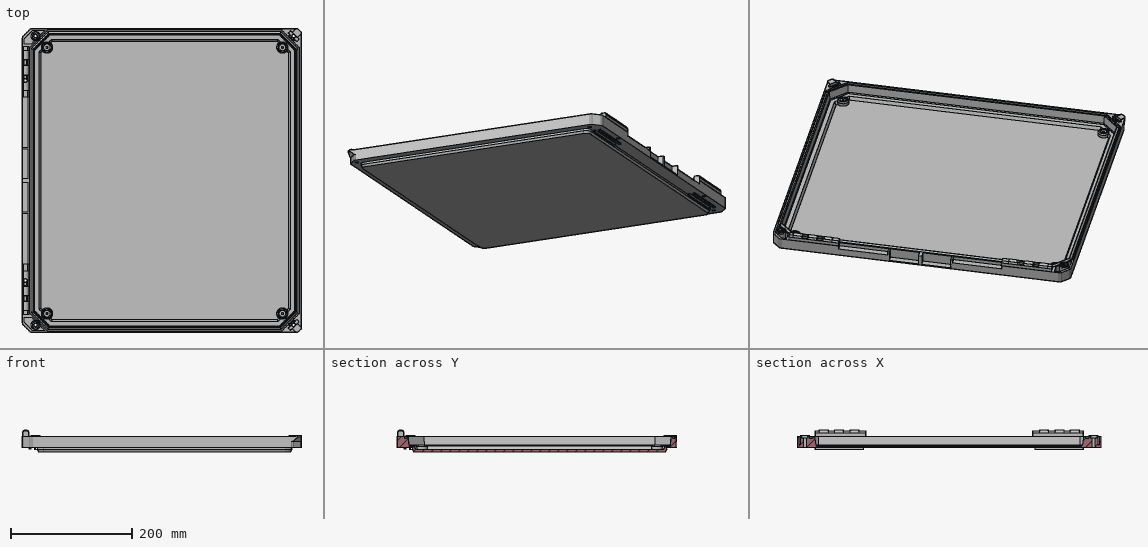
import cadquery as cq
import math


WIDTH = 461.0
LENGTH = 502.0
HINGE_STRIP = 9.5
HALF_X = (WIDTH - HINGE_STRIP) / 2
HALF_Y = LENGTH / 2
HINGE_X = -HALF_X - HINGE_STRIP

FLOOR_Z = 4.5
WALL_BOTTOM = 7.5
LEDGE_Z = 10.0
FOOT_Z = 12.0
GROOVE_Z = 23.0
RIM_Z = 26.0
BOSS_Z = 27.5
TOP_Z = 36.5

GROOVE_OUTER = 2.5
GROOVE_INNER = 5.0
LIP_EDGE = 8.0
WALL_TOP = 8.5
WALL_FOOT = 10.0
FOOT_EDGE = 11.0
LEDGE_EDGE = 18.0
FLOOR_EDGE = 21.0
FRAME_CORNER_CUT = 31.0

PANEL_INSET = 15.5
PANEL_CORNER_RADIUS = 10.0
PANEL_BEVEL_HEIGHT = 4.0
PANEL_BEVEL_WIDTH = 2.0

CORNER_CUT = 14.0
CORNER_ROUND = 5.0
SCREW_INSET = 12.5
SCREW_HOLE_DIA = 5.5
SCREW_SEAT_DIA = 11.0
SCREW_SEAT_DEPTH = 4.0
SCREW_BOSS_DIA = 15.0
POCKET_FLOOR_Z = 12.5
POCKET_RIM = 3.0
POCKET_LENGTH = 25.0
POCKET_DIAGONAL = 31.0

TAB_WIDTH = 12.0
BRACKET_WIDTH = 23.0
TAB_TIP_CUT = 6.0
TAB_INSET = 16.0
TAB_ROOT_Z = 17.5
TAB_TIP_Z = 24.5
SLOT_LENGTH = 20.0
SLOT_WIDTH = 5.5
SLOT_DEPTH = 5.0

POST_INSET = 31.0
POST_DIA = 19.0
POST_TOP = 11.5
POST_BEVEL = 2.0
POST_SEAT_DIA = 11.0
POST_SEAT_DEPTH = 1.5
POST_HOLE_DIA = 3.45
POST_HOLE_DEPTH = 6.0

KNUCKLE_START = 137.5
KNUCKLE_END = 221.5
KNUCKLE_WIDTH = 11.0
KNUCKLE_SHOULDER_Z = 31.5
KNUCKLE_GAP_Z = 35.0
KNUCKLE_BEVEL = 2.0
TOOTH_WIDTH = 15.0
TOOTH_CENTERS = (156.5, 182.5, 207.5)
KNUCKLE_SETBACK = 0.5
GAP_X = (2.5, 7.0)
GAP_END_WALL = 1.0
GAP_FLOOR_Z = 31.5
PIN_HOLE_DIA = 5.5
PIN_HOLE_X = 5.0
PIN_HOLE_Y = 165.0
RECESS_DEPTH = 9.5
SHALLOW_RECESS = (54.5, 137.5)
SHALLOW_RECESS_Z = 20.0
DEEP_RECESS = (3.0, 51.5)
DEEP_RECESS_Z = 9.5
RAIL_START = 141.5
RAIL_END = KNUCKLE_END
RAIL_X = (11.0, 14.5)
RAIL_BOTTOM = 5.5
DUCT_X = (20.0, 28.0)
DUCT_BOTTOM = 4.0
DUCT_SLOT_X = (22.0, 26.0)
DUCT_SLOT_Z = (4.5, WALL_BOTTOM)


def block(x_range, y_range, z_range):
    """Axis-aligned block between the given limits."""
    size = [high - low for low, high in (x_range, y_range, z_range)]
    return cq.Workplane("XY").box(*size, centered=False).translate((x_range[0], y_range[0], z_range[0]))


def cylinder(x, y, diameter, bottom, top):
    return cq.Workplane("XY", origin=(x, y, bottom)).circle(diameter / 2).extrude(top - bottom)


def octagon(inset):
    """Inner frame outline moved in by inset, with the corner diagonals moved in equally."""
    x = HALF_X - inset
    y = HALF_Y - inset
    cut = FRAME_CORNER_CUT - (2 - math.sqrt(2)) * inset
    return [
        (x - cut, -y), (x, cut - y), (x, y - cut), (x - cut, y),
        (cut - x, y), (-x, y - cut), (-x, cut - y), (cut - x, -y),
    ]


def tapered(bottom_inset, top_inset, bottom, top):
    """Octagonal solid whose inset changes evenly from bottom to top."""
    return (
        cq.Workplane("XY", origin=(0, 0, bottom))
        .polyline(octagon(bottom_inset)).close()
        .workplane(offset=top - bottom)
        .polyline(octagon(top_inset)).close()
        .loft(ruled=True)
    )


def frame_block():
    outline = block((HINGE_X, HALF_X), (-HALF_Y, HALF_Y), (WALL_BOTTOM, RIM_Z))
    return outline.edges("|Z").chamfer(CORNER_CUT).edges("|Z").fillet(CORNER_ROUND)


def panel():
    half_x = HALF_X - PANEL_INSET
    half_y = HALF_Y - PANEL_INSET
    return (
        block((-half_x, half_x), (-half_y, half_y), (0, LEDGE_Z))
        .edges("|Z").fillet(PANEL_CORNER_RADIUS)
        .faces("<Z").chamfer(PANEL_BEVEL_HEIGHT, PANEL_BEVEL_WIDTH)
    )


def cavity():
    above_foot = tapered(WALL_FOOT, WALL_TOP, FOOT_Z, RIM_Z)
    above_ledge = tapered(FOOT_EDGE, WALL_FOOT, LEDGE_Z, FOOT_Z)
    above_floor = tapered(FLOOR_EDGE, LEDGE_EDGE, FLOOR_Z, LEDGE_Z)
    return above_foot.union(above_ledge).union(above_floor)


def seal_groove():
    outside = tapered(GROOVE_OUTER, GROOVE_OUTER, GROOVE_Z, RIM_Z)
    return outside.cut(tapered(GROOVE_INNER, LIP_EDGE, GROOVE_Z, RIM_Z))


def post(side_x):
    x = side_x * (HALF_X - POST_INSET)
    y = HALF_Y - POST_INSET
    return (
        cylinder(x, y, POST_DIA, FLOOR_Z / 2, POST_TOP)
        .faces(">Z").chamfer(POST_BEVEL)
        .cut(cylinder(x, y, POST_SEAT_DIA, POST_TOP - POST_SEAT_DEPTH, POST_TOP))
        .cut(cylinder(x, y, POST_HOLE_DIA, POST_TOP - POST_HOLE_DEPTH, POST_TOP))
    )


def screw_point(side_x):
    """Screw axis at the +Y end of the hinge side (-1) or the latch side (1)."""
    return side_x * (HALF_X - SCREW_INSET), HALF_Y - SCREW_INSET


def screw_boss():
    x, y = screw_point(-1)
    return (
        cylinder(x, y, SCREW_BOSS_DIA, WALL_BOTTOM, BOSS_Z)
        .cut(cylinder(x, y, SCREW_HOLE_DIA, WALL_BOTTOM, BOSS_Z))
        .cut(cylinder(x, y, SCREW_SEAT_DIA, BOSS_Z - SCREW_SEAT_DEPTH, BOSS_Z))
    )


def hinge_corner_pocket():
    """Hollow inside the hinge corner, closed off by a diagonal wall towards the tray."""
    inner = (
        block(
            (HINGE_X + POCKET_RIM, 0),
            (HALF_Y - POCKET_LENGTH, HALF_Y - POCKET_RIM),
            (POCKET_FLOOR_Z, RIM_Z),
        )
        .edges("|Z and <X and >Y").chamfer(CORNER_CUT)
    )
    reach = POCKET_DIAGONAL + HINGE_STRIP
    diagonal = (
        cq.Workplane("XY")
        .polyline([(HINGE_X, HALF_Y), (HINGE_X + reach, HALF_Y), (HINGE_X, HALF_Y - reach)])
        .close()
        .extrude(RIM_Z)
    )
    return inner.intersect(diagonal)


def corner_bar(width, top):
    """Diagonal bar over the cut corner, its underside sloping up towards the tip."""
    root = CORNER_CUT / math.sqrt(2)
    tip = TAB_TIP_CUT / math.sqrt(2)
    inner_end = TAB_INSET * math.sqrt(2)
    bar = (
        cq.Workplane("XZ")
        .polyline([
            (-inner_end, TAB_ROOT_Z), (-root, TAB_ROOT_Z), (-tip, TAB_TIP_Z),
            (-tip, top), (-inner_end, top),
        ])
        .close()
        .extrude(width / 2, both=True)
        .rotate((0, 0, 0), (0, 0, 1), 45)
        .translate((HALF_X, HALF_Y, 0))
    )
    return bar.intersect(block((0, HALF_X), (0, HALF_Y), (0, top)))


def latch_tab():
    bracket = corner_bar(BRACKET_WIDTH, RIM_Z)
    return bracket.union(corner_bar(TAB_WIDTH, BOSS_Z))


def latch_slot():
    x, y = screw_point(1)
    return (
        cq.Workplane("XY", origin=(x, y, BOSS_Z - SLOT_DEPTH))
        .transformed(rotate=(0, 0, -45))
        .rect(SLOT_LENGTH, SLOT_WIDTH)
        .extrude(SLOT_DEPTH)
    )


def knuckle_strip(start, end, profile):
    """Hinge profile in X and Z, extruded along Y from start to end."""
    points = [(HINGE_X + x, z) for x, z in profile]
    return cq.Workplane("XZ", origin=(0, start, 0)).polyline(points).close().extrude(start - end)


def knuckle():
    base = knuckle_strip(KNUCKLE_START, KNUCKLE_END, [
        (KNUCKLE_SETBACK, RIM_Z), (KNUCKLE_SETBACK, KNUCKLE_SHOULDER_Z), (KNUCKLE_BEVEL, KNUCKLE_GAP_Z),
        (KNUCKLE_WIDTH - KNUCKLE_BEVEL, KNUCKLE_GAP_Z), (KNUCKLE_WIDTH, KNUCKLE_SHOULDER_Z),
        (KNUCKLE_WIDTH, RIM_Z),
    ])
    radius = (KNUCKLE_WIDTH - KNUCKLE_SETBACK) / 2
    for center in TOOTH_CENTERS:
        tooth = (
            cq.Workplane("XZ", origin=(HINGE_X + KNUCKLE_WIDTH - radius, center, TOP_Z - radius))
            .circle(radius)
            .extrude(TOOTH_WIDTH / 2, both=True)
        )
        base = base.union(tooth)
    for near, far in zip(TOOTH_CENTERS, TOOTH_CENTERS[1:]):
        clearance = TOOTH_WIDTH / 2 + GAP_END_WALL
        y_range = (near + clearance, far - clearance)
        base = base.cut(block(hinge_x(GAP_X), y_range, (GAP_FLOOR_Z, KNUCKLE_GAP_Z)))
    return base


def hinge_x(x_range):
    return HINGE_X + x_range[0], HINGE_X + x_range[1]


def hinge_rails():
    """Rail and hollow duct under the frame, below each group of knuckles."""
    y_range = (RAIL_START, RAIL_END)
    rail = block(hinge_x(RAIL_X), y_range, (RAIL_BOTTOM, WALL_BOTTOM))
    duct = block(hinge_x(DUCT_X), y_range, (DUCT_BOTTOM, WALL_BOTTOM))
    duct = duct.cut(block(hinge_x(DUCT_SLOT_X), y_range, DUCT_SLOT_Z))
    return rail.union(duct)


def hinge_recesses():
    x_range = (HINGE_X, HINGE_X + RECESS_DEPTH)
    shallow = block(x_range, SHALLOW_RECESS, (SHALLOW_RECESS_Z, RIM_Z))
    return shallow.union(block(x_range, DEEP_RECESS, (DEEP_RECESS_Z, RIM_Z)))


def both_ends(shape):
    """The shape together with its mirror image across the middle of the length."""
    return shape.union(shape.mirror("XZ"))


result = frame_block().union(panel()).cut(cavity()).cut(seal_groove())

result = result.cut(both_ends(hinge_corner_pocket())).union(both_ends(screw_boss()))
result = result.union(both_ends(latch_tab())).cut(both_ends(latch_slot()))
for side_x in (-1, 1):
    screw_hole = cylinder(*screw_point(side_x), SCREW_HOLE_DIA, 0, BOSS_Z)
    result = result.union(both_ends(post(side_x))).cut(both_ends(screw_hole))

pin_hole = cylinder(HINGE_X + PIN_HOLE_X, PIN_HOLE_Y, PIN_HOLE_DIA, WALL_BOTTOM, TOP_Z)
result = result.cut(both_ends(hinge_recesses()))
result = result.union(both_ends(knuckle())).union(both_ends(hinge_rails()))
result = result.cut(both_ends(pin_hole))